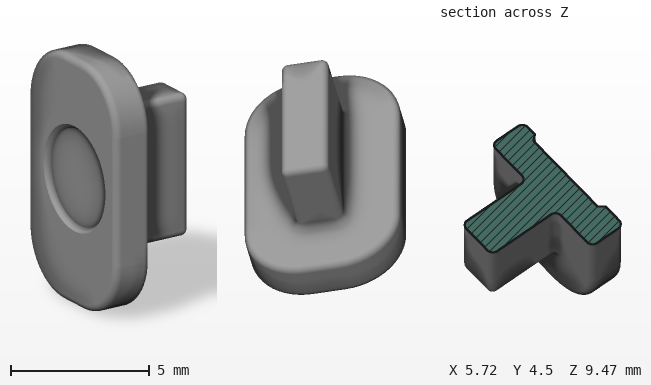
import cadquery as cq
import math

core_width = 1.22
core_height = 4.97

plate_corner_radius = 2.25
plate_thickness = 1.5
plate_edge_radius = 0.25

stem_length = 3.0
stem_edge_radius = 0.25
stem_root_radius = 0.25

recess_x = 0.18
recess_z = 0.16
recess_mouth_diameter = 4.03
recess_floor_diameter = 3.66
recess_depth = 0.22

front_y = 0.0
back_y = front_y + plate_thickness


def grown_core_block(start_y, length, corner_radius):
    """Square-cornered block along +Y whose section is the core grown by corner_radius."""
    width = core_width + 2 * corner_radius
    height = core_height + 2 * corner_radius
    return cq.Workplane("XY").box(width, length, height).translate((0, start_y + length / 2, 0))


def make_plate():
    """Plate with large rounded corners and softened front and back rims."""
    plate = grown_core_block(front_y, plate_thickness, plate_corner_radius)
    plate = plate.edges("|Y").fillet(plate_corner_radius)
    return plate.faces("<Y or >Y").edges().fillet(plate_edge_radius)


def make_stem():
    """Post on the back of the plate, with its long edges and tip rounded alike."""
    stem = grown_core_block(back_y, stem_length, stem_edge_radius)
    return stem.edges("|Y or >Y").fillet(stem_edge_radius)


def blend_root(body):
    """Fillet the inside corner where the stem meets the back of the plate."""
    reach_x = core_width / 2 + stem_edge_radius + stem_root_radius
    reach_z = core_height / 2 + stem_edge_radius + stem_root_radius
    reach_y = stem_root_radius / 2
    root_zone = cq.selectors.BoxSelector(
        (-reach_x, back_y - reach_y, -reach_z),
        (reach_x, back_y + reach_y, reach_z),
    )
    return body.edges(root_zone).fillet(stem_root_radius)


def make_recess():
    """Truncated cone that narrows from the front face to the recess floor."""
    mouth_radius = recess_mouth_diameter / 2
    floor_radius = recess_floor_diameter / 2
    wall_angle = math.degrees(math.atan2(mouth_radius - floor_radius, recess_depth))
    mouth_plane = cq.Plane(origin=(recess_x, front_y, recess_z), xDir=(1, 0, 0), normal=(0, 1, 0))
    return cq.Workplane(mouth_plane).circle(mouth_radius).extrude(recess_depth, taper=wall_angle)


body = make_plate().union(make_stem())
result = blend_root(body).cut(make_recess())